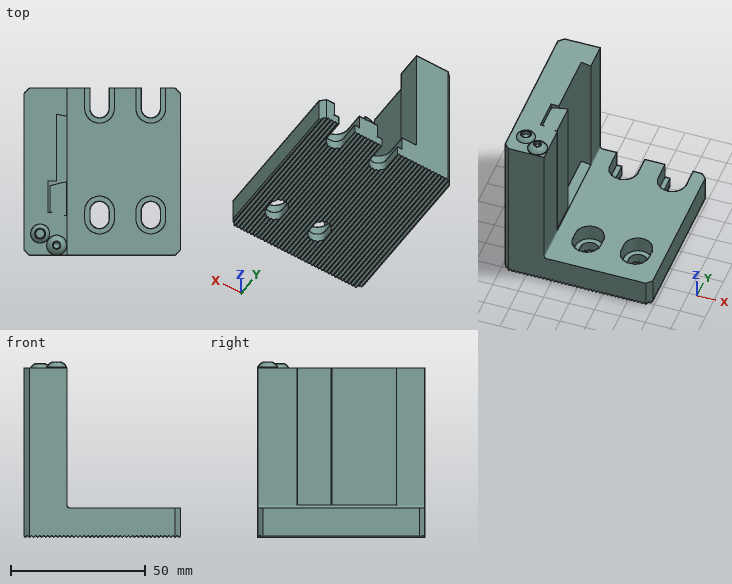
import cadquery as cq
import math

WIDTH = 58.0
LENGTH = 62.05
HEIGHT = 65.1
CORNER_CHAMFER = 2.0

WALL_THICKNESS = 16.0
BASE_TOP = 11.0
INNER_FILLET = 1.0

TOOTH_PITCH = 1.5
TOOTH_DEPTH = TOOTH_PITCH / 2

SLOT_X = (28.0, 47.0)
SLOT_WIDTH = 7.0
SLOT_SEAT_WIDTH = 11.0
SLOT_SEAT_DEPTH = 6.5
CLOSED_SLOT_Y = 15.0
CLOSED_SLOT_TRAVEL = 3.0
OPEN_SLOT_Y = 54.5

RECESS_FLOOR = BASE_TOP + INNER_FILLET
RECESS_BACK = 12.0
RECESS_END = 52.35
RECESS_LIP_END = 51.55
RECESS_CORNER_FILLET = 0.4
JAW_POCKET_BACK = 8.9
JAW_POCKET_START = 15.95
JAW_POCKET_END = 27.6

JAW_BACK = 9.7
JAW_FACE = WALL_THICKNESS - 0.25
JAW_BACK_END = 25.85
JAW_SHOULDER_X = 14.05
JAW_SHOULDER_END = 26.95
JAW_TIP_END = 27.15
JAW_FACE_START = 14.7
JAW_FACE_SLIT_DEPTH = 1.05
JAW_BACK_SLIT_DEPTH = 0.5
JAW_SLIT_WIDTH = 0.05

HOLLOW_HEAD_CENTRE = (6.0, 8.1)
HOLLOW_HEAD_RADIUS = 3.5
HOLLOW_HEAD_HEIGHT = 1.5
HOLLOW_HEAD_TOP_RADIUS = 2.0
HOLLOW_HEAD_BORE = 3.3
HOLLOW_HEAD_BORE_DEPTH = 1.7
HOLLOW_HEAD_MOUTH_DEPTH = 0.2

HEX_HEAD_CENTRE = (12.1, 3.8)
HEX_HEAD_RADIUS = 3.7
HEX_HEAD_HEIGHT = 2.2
HEX_HEAD_RIM = 0.25
HEX_HEAD_TOP_RADIUS = 1.5
HEX_SOCKET_CORNERS = 2.85
HEX_SOCKET_DEPTH = 1.3
HEX_SOCKET_CONE_DEPTH = 0.85

WALL_TOP = HEIGHT - HEX_HEAD_HEIGHT


def make_body():
    """L-shaped body with a fillet in the inner corner and chamfered vertical corners."""
    profile = (
        cq.Workplane("XZ")
        .polyline([
            (0, 0),
            (WIDTH, 0),
            (WIDTH, BASE_TOP),
            (WALL_THICKNESS, BASE_TOP),
            (WALL_THICKNESS, WALL_TOP),
            (0, WALL_TOP),
        ])
        .close()
        .extrude(-LENGTH)
    )
    inner_corner = cq.selectors.NearestToPointSelector((WALL_THICKNESS, LENGTH / 2, BASE_TOP))
    body = profile.edges(inner_corner).fillet(INNER_FILLET)
    return body.edges("|Z and (<X or >X)").chamfer(CORNER_CHAMFER)


def make_tooth_gaps():
    """V-grooves along Y, placed symmetrically either side of the centre tooth."""
    gaps = cq.Workplane("XZ")
    pairs = math.ceil(WIDTH / 2 / TOOTH_PITCH)
    for step in range(-pairs, pairs):
        valley_x = WIDTH / 2 + (step + 0.5) * TOOTH_PITCH
        gaps = gaps.polyline([
            (valley_x - TOOTH_PITCH / 2, 0),
            (valley_x + TOOTH_PITCH / 2, 0),
            (valley_x, TOOTH_DEPTH),
        ]).close()
    return gaps.extrude(-LENGTH)


def make_slot(centre_x, start_y, end_y, width, bottom):
    """Round-ended slot along Y, from the given level up through the base top."""
    travel = end_y - start_y
    return (
        cq.Workplane("XY", origin=(centre_x, (start_y + end_y) / 2, bottom))
        .slot2D(travel + width, width, 90)
        .extrude(BASE_TOP - bottom)
    )


def make_stepped_slot(centre_x, start_y, end_y):
    """Through slot with a wider seat sunk from the base top."""
    through = make_slot(centre_x, start_y, end_y, SLOT_WIDTH, 0)
    seat = make_slot(centre_x, start_y, end_y, SLOT_SEAT_WIDTH, BASE_TOP - SLOT_SEAT_DEPTH)
    return through.union(seat)


def upright_prism(points):
    """Prism over the recess floor, reaching the top of the wall."""
    return (
        cq.Workplane("XY", origin=(0, 0, RECESS_FLOOR))
        .polyline(points)
        .close()
        .extrude(WALL_TOP - RECESS_FLOOR)
    )


def make_recess():
    """Stepped recess with an undercut end, open toward the base."""
    recess = upright_prism([
        (WALL_THICKNESS, JAW_POCKET_START),
        (JAW_POCKET_BACK, JAW_POCKET_START),
        (JAW_POCKET_BACK, JAW_POCKET_END),
        (RECESS_BACK, JAW_POCKET_END),
        (RECESS_BACK, RECESS_END),
        (WALL_THICKNESS, RECESS_LIP_END),
    ])
    undercut = cq.selectors.NearestToPointSelector(
        (RECESS_BACK, RECESS_END, (RECESS_FLOOR + WALL_TOP) / 2)
    )
    return recess.edges(undercut).fillet(RECESS_CORNER_FILLET)


def make_jaw():
    """Clamp jaw with a sloped end, joined to the wall at its near end except for a short slit."""
    slit_end = JAW_BACK + JAW_BACK_SLIT_DEPTH
    slit_top = JAW_POCKET_START + JAW_SLIT_WIDTH
    return upright_prism([
        (slit_end, JAW_POCKET_START),
        (slit_end, slit_top),
        (JAW_BACK, slit_top),
        (JAW_BACK, JAW_BACK_END),
        (JAW_SHOULDER_X, JAW_SHOULDER_END),
        (JAW_FACE, JAW_TIP_END),
        (JAW_FACE, JAW_POCKET_START),
    ])


def make_jaw_relief():
    """Shallow step that sets the jaw face back, with a thin slit at its near end."""
    return upright_prism([
        (WALL_THICKNESS, JAW_FACE_START),
        (WALL_THICKNESS - JAW_FACE_SLIT_DEPTH, JAW_FACE_START),
        (WALL_THICKNESS - JAW_FACE_SLIT_DEPTH, JAW_FACE_START + JAW_SLIT_WIDTH),
        (JAW_FACE, JAW_FACE_START + JAW_SLIT_WIDTH),
        (JAW_FACE, JAW_POCKET_START),
        (WALL_THICKNESS, JAW_POCKET_START),
    ])


def make_dome(centre, radius, rim, height, top_radius):
    """Screw head: a cylindrical rim below a spherical zone with a flat top."""
    dome_height = height - rim
    drop = (radius**2 - top_radius**2 - dome_height**2) / (2 * dome_height)
    sphere_radius = math.hypot(radius, drop)
    middle_height = dome_height / 2
    middle_radius = math.sqrt(sphere_radius**2 - (drop + middle_height) ** 2)
    profile = cq.Workplane("XZ", origin=(*centre, WALL_TOP)).lineTo(radius, 0)
    if rim > 0:
        profile = profile.lineTo(radius, rim)
    return (
        profile
        .threePointArc((middle_radius, rim + middle_height), (top_radius, height))
        .lineTo(0, height)
        .close()
        .revolve(360, (0, 0), (0, 1))
    )


def make_hollow_head_bore():
    """Flat-bottomed bore with a chamfered mouth, sunk through the low head into the wall."""
    bore_radius = HOLLOW_HEAD_BORE / 2
    return (
        cq.Workplane("XZ", origin=(*HOLLOW_HEAD_CENTRE, WALL_TOP + HOLLOW_HEAD_HEIGHT))
        .polyline([
            (0, 0),
            (HOLLOW_HEAD_TOP_RADIUS, 0),
            (bore_radius, -HOLLOW_HEAD_MOUTH_DEPTH),
            (bore_radius, -HOLLOW_HEAD_BORE_DEPTH),
            (0, -HOLLOW_HEAD_BORE_DEPTH),
        ])
        .close()
        .revolve(360, (0, 0), (0, 1))
    )


def make_hex_head_socket():
    """Hexagon socket of the tall head, ending in a cone."""
    flats_radius = HEX_SOCKET_CORNERS / 2 * math.cos(math.radians(30))
    socket = (
        cq.Workplane("XY", origin=(*HEX_HEAD_CENTRE, HEIGHT))
        .transformed(rotate=(0, 0, 30))
        .polygon(6, HEX_SOCKET_CORNERS)
        .extrude(-HEX_SOCKET_DEPTH)
    )
    cone = cq.Solid.makeCone(
        flats_radius,
        0,
        HEX_SOCKET_CONE_DEPTH,
        pnt=cq.Vector(*HEX_HEAD_CENTRE, HEIGHT - HEX_SOCKET_DEPTH),
        dir=cq.Vector(0, 0, -1),
    )
    return socket.union(cq.Workplane(cone))


result = make_body().cut(make_tooth_gaps())

closed_start = CLOSED_SLOT_Y - CLOSED_SLOT_TRAVEL / 2
closed_end = CLOSED_SLOT_Y + CLOSED_SLOT_TRAVEL / 2
open_end = LENGTH + SLOT_SEAT_WIDTH
for slot_x in SLOT_X:
    result = result.cut(make_stepped_slot(slot_x, closed_start, closed_end))
    result = result.cut(make_stepped_slot(slot_x, OPEN_SLOT_Y, open_end))

result = result.cut(make_recess()).union(make_jaw()).cut(make_jaw_relief())

hollow_head = make_dome(
    HOLLOW_HEAD_CENTRE, HOLLOW_HEAD_RADIUS, 0, HOLLOW_HEAD_HEIGHT, HOLLOW_HEAD_TOP_RADIUS
)
hex_head = make_dome(
    HEX_HEAD_CENTRE, HEX_HEAD_RADIUS, HEX_HEAD_RIM, HEX_HEAD_HEIGHT, HEX_HEAD_TOP_RADIUS
)
result = result.union(hollow_head).union(hex_head)
result = result.cut(make_hollow_head_bore()).cut(make_hex_head_socket())